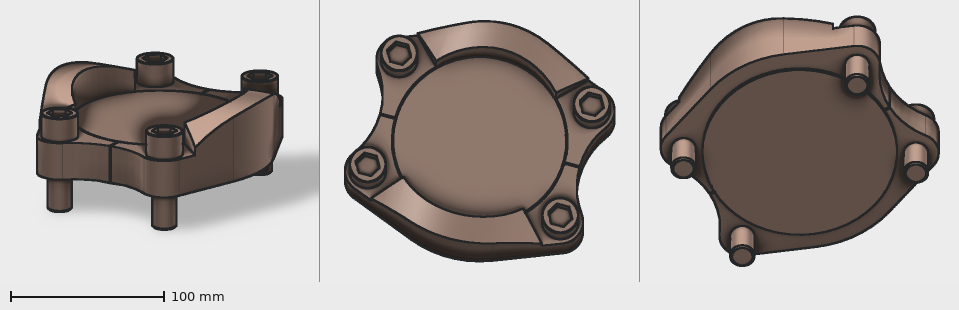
import cadquery as cq
import math

body_width = 149.9
body_length = 160.0
plate_height = 25.0
arch_height = 48.0
waist_length = 135.0
split_gap = 1.0

arch_radius = 103.0

bore_diameter = 114.5
hub_diameter = 113.0
flange_diameter = 127.0
flange_thickness = 9.6
flange_protrusion = 2.0

screw_spacing_x = 77.8
screw_spacing_y = 130.2
screw_diameter = 16.0
screw_length = 49.9
screw_tip_chamfer = 1.3
head_diameter = 24.0
head_height = 16.0
head_chamfer = 0.5
socket_width = 14.0
socket_depth = 8.0

screw_x = screw_spacing_x / 2
screw_y = screw_spacing_y / 2
side_radius = body_width / 2
ear_radius = body_length / 2 - screw_y
waist_y = waist_length / 2
flange_bottom = -flange_protrusion


def polar(radius, angle, center=(0, 0)):
    """Point at a radius and angle (radians) from a center."""
    return (center[0] + radius * math.cos(angle), center[1] + radius * math.sin(angle))


def body_quarter(height):
    """The +X +Y quarter of the clamp body, without bore or split."""
    ear_center = (screw_x, screw_y)

    ear_distance = math.hypot(screw_x, screw_y)
    ear_direction = math.atan2(screw_y, screw_x)
    flank_angle = ear_direction - math.acos((side_radius - ear_radius) / ear_distance)

    waist_depth = body_length / 2 - waist_y
    waist_rise = (screw_x**2 - waist_depth**2) / (2 * waist_depth)
    waist_center = (0, screw_y + waist_rise)
    waist_radius = waist_center[1] - waist_y
    waist_angle = math.atan2(-waist_rise, screw_x)

    ear_start = flank_angle
    ear_end = waist_angle + math.pi
    return (
        cq.Workplane("XY")
        .moveTo(0, 0)
        .lineTo(side_radius, 0)
        .threePointArc(polar(side_radius, flank_angle / 2), polar(side_radius, flank_angle))
        .lineTo(*polar(ear_radius, ear_start, ear_center))
        .threePointArc(
            polar(ear_radius, (ear_start + ear_end) / 2, ear_center),
            polar(ear_radius, ear_end, ear_center),
        )
        .threePointArc(
            polar(waist_radius, (waist_angle - math.pi / 2) / 2, waist_center),
            (0, waist_y),
        )
        .close()
        .extrude(height)
    )


def full_outline(height):
    """Clamp outline mirrored to all four quarters."""
    half = body_quarter(height)
    half = half.union(half.mirror("XZ"))
    return half.union(half.mirror("YZ")).clean()


def jaw_envelope():
    """Two 45 degree wedges along X, topped by an arch that runs along X."""
    wedges = (
        cq.Workplane("XY")
        .polyline([(0, 0), (body_width, body_width), (body_width, -body_width)])
        .close()
        .extrude(arch_height)
    )
    wedges = wedges.union(wedges.mirror("YZ"))
    arch = (
        cq.Workplane("YZ")
        .center(0, arch_height - arch_radius)
        .circle(arch_radius)
        .extrude(side_radius, both=True)
    )
    return wedges.intersect(arch)


def clamp():
    """Two clamp halves: flat eared plates with raised side jaws."""
    plate = full_outline(plate_height)
    jaws = full_outline(arch_height).intersect(jaw_envelope())
    bore = cq.Workplane("XY").circle(bore_diameter / 2).extrude(arch_height)
    split = cq.Workplane("XY").box(split_gap, body_length, arch_height, centered=(True, True, False))
    return plate.union(jaws).cut(bore).cut(split)


def flange():
    """Hub filling the bore, on a wider shoulder that joins the clamp halves."""
    base = cq.Workplane("XY").workplane(offset=flange_bottom)
    shoulder = base.circle(flange_diameter / 2).extrude(flange_thickness)
    hub = base.circle(hub_diameter / 2).extrude(plate_height - flange_bottom)
    return shoulder.union(hub)


def cap_screw():
    """Socket head cap screw seated on the plate, at the origin."""
    seat = cq.Workplane("XY").workplane(offset=plate_height)
    shank = seat.circle(screw_diameter / 2).extrude(-screw_length)
    shank = shank.faces("<Z").chamfer(screw_tip_chamfer)
    head = seat.circle(head_diameter / 2).extrude(head_height)
    head = head.faces(">Z").edges().chamfer(head_chamfer)
    socket = (
        cq.Workplane("XY")
        .workplane(offset=plate_height + head_height - socket_depth)
        .polygon(6, socket_width, circumscribed=True)
        .extrude(socket_depth)
    )
    return shank.union(head.cut(socket))


result = clamp().union(flange())
for x in (-screw_x, screw_x):
    for y in (-screw_y, screw_y):
        result = result.union(cap_screw().translate((x, y, 0)))